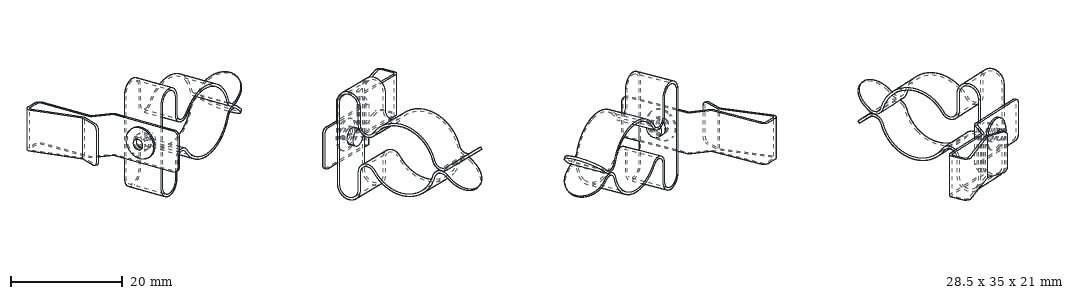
import cadquery as cq
import math


sheet = 0.5
strip_width = 8.0
half_sheet = sheet / 2

clip_height = 21.0
loop_radius = 2.25
neck_radius = 1.75
cradle_radius = 7.25
lip_radius = neck_radius
cradle_y = 13.85
cradle_offset = 0.55
lip_gap = 0.07
lip_angle = 38.4
lip_straight = 0.85

plate_end_x = 8.02
tab_left_x = -20.5
corner_radius = 1.0
bend_radius = 0.75
tight_bend_radius = 0.3
step_x = -6.13
step_drop = 3.25
step_angle = 50.0
crease_x = -9.6
crease_y = -4.73
finger_angle = 14.6
tip_angle = 21.4
tip_length = 4.52

shank_radius = 1.6
shank_end_y = 1.75
head_radius = 3.0
head_rim = 0.4
head_height = 1.0
head_face_radius = 2.28
head_edge_fillet = 0.35
socket_radius = 1.0
socket_depth = 0.98


def step_from(point, heading, distance):
    """Point reached from `point` by going `distance` along `heading` (radians)."""
    return (point[0] + distance * math.cos(heading), point[1] + distance * math.sin(heading))


def straight(length):
    return (length, 0, 0)


def bend(radius, degrees):
    """Turn left (positive) or right (negative); radius 0 gives a sharp mitred crease."""
    return (0, radius, math.radians(degrees))


def strip_outline(plane, start, heading_degrees, moves):
    """Closed outline of a sheet whose middle line follows `moves`, and the middle line's end point."""
    heading = math.radians(heading_degrees)
    left = math.pi / 2
    position = start
    sides = {side: [("start", step_from(start, heading + left, side * half_sheet))] for side in (1, -1)}
    for length, radius, angle in moves:
        if length:
            position = step_from(position, heading, length)
            for side, track in sides.items():
                track.append(("line", step_from(position, heading + left, side * half_sheet)))
        elif radius:
            turn = math.copysign(1, angle)
            centre = step_from(position, heading + left, turn * radius)
            for side, track in sides.items():
                side_radius = turn * radius - side * half_sheet
                middle = step_from(centre, heading - left + angle / 2, side_radius)
                end = step_from(centre, heading - left + angle, side_radius)
                track.append(("arc", middle, end))
            position = step_from(centre, heading - left + angle, turn * radius)
            heading += angle
        else:
            mitre = half_sheet / math.cos(angle / 2)
            for side, track in sides.items():
                track[-1] = ("line", step_from(position, heading + left + angle / 2, side * mitre))
            heading += angle

    outline = cq.Workplane(plane).moveTo(*sides[1][0][1])
    for kind, *points in sides[1][1:]:
        outline = outline.lineTo(*points[0]) if kind == "line" else outline.threePointArc(*points)
    back = sides[-1]
    outline = outline.lineTo(*back[-1][-1])
    for index in range(len(back) - 1, 0, -1):
        kind, target = back[index][0], back[index - 1][-1]
        outline = outline.lineTo(*target) if kind == "line" else outline.threePointArc(back[index][1], target)
    return outline.close(), position


def make_rivet_hole():
    return cq.Workplane("XZ").circle(shank_radius).extrude(2 * sheet, both=True)


def make_spring_clip():
    """Omega-shaped spring with a base, two loops, a round cradle and flared lips."""
    base_y = half_sheet
    loop_z = clip_height / 2 - loop_radius - half_sheet
    neck_y = base_y + 2 * loop_radius + neck_radius
    lip_z = lip_gap / 2 + half_sheet + lip_radius

    cradle_to_bend = cradle_radius + neck_radius
    neck_slope = math.degrees(math.asin((cradle_y - neck_y) / cradle_to_bend))
    neck_z = -cradle_offset + cradle_to_bend * math.cos(math.radians(neck_slope))
    lip_slope = math.degrees(math.acos((lip_z + cradle_offset) / cradle_to_bend))

    upper_moves = [
        straight(loop_z),
        bend(loop_radius, -180),
        straight(loop_z - neck_z),
        bend(neck_radius, 90 + neck_slope),
        bend(cradle_radius, -neck_slope - lip_slope),
        bend(lip_radius, lip_slope + lip_angle),
        straight(lip_straight),
    ]
    outline, lip_end = strip_outline("YZ", (base_y, 0), 90, upper_moves)
    upper_half = outline.extrude(strip_width / 2, both=True)

    slope = math.radians(lip_angle)
    lip_plane = cq.Plane(
        origin=(0, lip_end[0], lip_end[1]),
        xDir=(1, 0, 0),
        normal=(0, -math.sin(slope), math.cos(slope)),
    )
    end_radius = strip_width / 2
    rounded_end = (
        cq.Workplane(lip_plane)
        .moveTo(-end_radius, 0)
        .threePointArc((0, end_radius), (end_radius, 0))
        .close()
        .extrude(half_sheet, both=True)
    )
    upper_half = upper_half.union(rounded_end)
    clip = upper_half.union(upper_half.mirror("XY")).clean()
    return clip.cut(make_rivet_hole())


def folded_moves(points, radii):
    """Moves along a polyline whose inner corners are bent to the given radii."""
    headings = [math.atan2(b[1] - a[1], b[0] - a[0]) for a, b in zip(points, points[1:])]
    turns = [math.remainder(b - a, 2 * math.pi) for a, b in zip(headings, headings[1:])]
    setbacks = [radius * math.tan(abs(turn) / 2) for radius, turn in zip(radii, turns)]
    setbacks = [0, *setbacks, 0]
    moves = []
    for index, (a, b) in enumerate(zip(points, points[1:])):
        moves.append(straight(math.dist(a, b) - setbacks[index] - setbacks[index + 1]))
        if index < len(turns):
            moves.append(bend(radii[index], math.degrees(turns[index])))
    return moves


def make_belt_tab():
    """Flat plate stepped down into a folded-back spring finger."""
    fold_x = tab_left_x + half_sheet
    plate_y = -half_sheet
    shelf_y = plate_y - step_drop
    foot_x = step_x - step_drop / math.tan(math.radians(step_angle))
    fold_y = crease_y - (crease_x - fold_x) * math.tan(math.radians(finger_angle))
    tip = step_from((crease_x, crease_y), math.radians(-tip_angle), tip_length)
    points = [
        (plate_end_x, plate_y),
        (step_x, plate_y),
        (foot_x, shelf_y),
        (fold_x, shelf_y),
        (fold_x, fold_y),
        (crease_x, crease_y),
        tip,
    ]
    radii = [bend_radius, tight_bend_radius, bend_radius, bend_radius, 0]
    outline, _ = strip_outline("XY", points[0], 180, folded_moves(points, radii))
    tab = outline.extrude(strip_width / 2, both=True)

    slope = math.radians(tip_angle)
    tip_thickness_direction = cq.Vector(math.sin(slope), math.cos(slope), 0)
    tab = tab.faces(">X").edges("|Y").fillet(corner_radius)
    tab = tab.edges(cq.selectors.ParallelDirSelector(tip_thickness_direction)).fillet(corner_radius)
    return tab.cut(make_rivet_hole())


def make_rivet():
    """Rivet with a bevelled head, a blind socket and a plain shank."""
    seat_y = -sheet
    face_y = seat_y - head_height
    rivet = (
        cq.Workplane("XY")
        .moveTo(0, face_y)
        .lineTo(head_face_radius, face_y)
        .lineTo(head_radius, seat_y - head_rim)
        .lineTo(head_radius, seat_y)
        .lineTo(shank_radius, seat_y)
        .lineTo(shank_radius, shank_end_y)
        .lineTo(0, shank_end_y)
        .close()
        .revolve(360, (0, 0), (0, 1))
    )
    rivet = rivet.faces("<Y").edges().fillet(head_edge_fillet)
    return rivet.faces("<Y").workplane(centerOption="CenterOfMass").circle(socket_radius).cutBlind(-socket_depth)


spring_clip = make_spring_clip()
belt_tab = make_belt_tab()
rivet = make_rivet()

result = cq.Compound.makeCompound([spring_clip.val(), belt_tab.val(), rivet.val()])